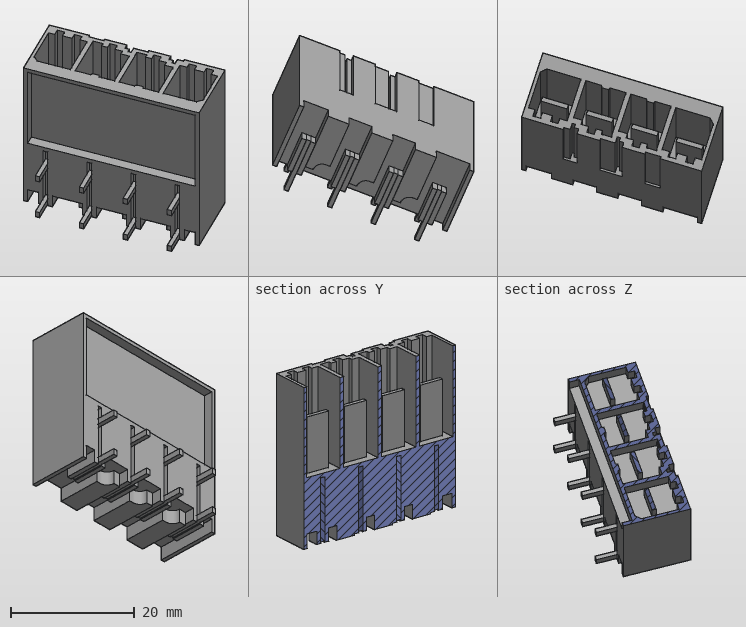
import cadquery as cq
import math


pole_count = 4
pitch = 7.62
width = pole_count * pitch
depth = 11.4
height = 28.3
back = depth / 2
front = -depth / 2
pole_centers = [(i - (pole_count - 1) / 2) * pitch for i in range(pole_count)]

recess_wall = 0.73
recess_bottom = 12.46
recess_depth = 1.65

pocket_floor = recess_bottom
end_wall = 0.6
pole_wall = 0.82
pocket_front = 9.0
groove_bottom = 0.73
key_face = 1.72
pocket_half = pitch / 2 - pole_wall / 2
end_chamfer = 0.83
end_outer_shoulder = 1.84
end_inner_shoulder = 1.6
end_groove_inner = 0.85
end_groove_outer = 2.12
middle_left_corner = 1.12
ledge_width = 0.12
ledge_height = 1.0
middle_left_key = 1.7
middle_groove_half = 0.62
middle_right_key = 1.92
middle_right_shoulder = 2.44
bump_height = 0.36
bump_top_half = 0.56
bump_base_half = 0.72

notch_depth = 0.36
notch_floor = pocket_floor
first_notch_left = -8.22
notch_lead = 1.8
last_notch_right = 8.2
hook_left = 2.04
hook_shelf_width = 0.75
hook_shelf_depth = 0.85
hook_slot_width = 0.53
hook_slot_depth = 1.45

ceiling = 2.55
rib_half = 1.21
rib_bottom = 0.24
column_left = 4.86
column_arc_left = 4.12
column_arc_right = 2.54
column_front = -3.92
column_radius = column_arc_left - column_arc_right

contact_thickness = 0.76
blade_width = 4.4
blade_top = 22.3
stem_top = 11.66
stem_recess = 1.0
stem_front = front + stem_recess
stem_back = contact_thickness / 2
pin_height = 1.1
pin_length = 3.5
lower_pin_level = 1.03
pin_levels = [lower_pin_level, lower_pin_level + pitch]
stem_bottom = lower_pin_level - pin_height / 2


def block(x0, x1, y0, y1, z0, z1):
    """Box between two opposite corners."""
    return cq.Workplane("XY").box(x1 - x0, y1 - y0, z1 - z0, centered=False).translate((x0, y0, z0))


def prism_from_back(points, z0, z1):
    """Vertical prism whose outline is given as (x, depth below the back face)."""
    outline = [(x, back - below) for x, below in points]
    return cq.Workplane("XY").workplane(offset=z0).polyline(outline).close().extrude(z1 - z0)


def end_pocket():
    """Pocket of the leftmost pole, with two grooves and one chamfered corner."""
    outer = -pitch / 2 + end_wall
    points = [
        (outer, end_outer_shoulder),
        (-end_groove_outer, end_outer_shoulder),
        (-end_groove_outer, groove_bottom),
        (-end_groove_inner, groove_bottom),
        (-end_groove_inner, key_face),
        (end_groove_inner, key_face),
        (end_groove_inner, groove_bottom),
        (end_groove_outer, groove_bottom),
        (end_groove_outer, end_inner_shoulder),
        (pocket_half, end_inner_shoulder),
        (pocket_half, pocket_front),
        (outer + end_chamfer, pocket_front),
        (outer, pocket_front - end_chamfer),
    ]
    return prism_from_back(points, pocket_floor, height).translate((pole_centers[0], 0, 0))


def middle_pocket(center):
    """Pocket of an inner pole, with a stepped back and a small bump on the front wall."""
    points = [
        (-pocket_half, middle_left_corner),
        (-middle_left_key, middle_left_corner),
        (-middle_left_key, key_face),
        (-middle_groove_half, key_face),
        (-middle_groove_half, groove_bottom),
        (middle_groove_half, groove_bottom),
        (middle_groove_half, key_face),
        (middle_right_key, key_face),
        (middle_right_key, middle_right_shoulder),
        (pocket_half, middle_right_shoulder),
        (pocket_half, pocket_front),
        (bump_base_half, pocket_front),
        (bump_top_half, pocket_front - bump_height),
        (-bump_top_half, pocket_front - bump_height),
        (-bump_base_half, pocket_front),
        (-pocket_half, pocket_front),
    ]
    return prism_from_back(points, pocket_floor, height).translate((center, 0, 0))


def pocket_ledge(center):
    """Narrow ledge low in the back left corner of an inner pocket."""
    ledge_back = back - middle_left_corner
    return block(
        center - pocket_half, center - middle_left_key,
        ledge_back - ledge_width, ledge_back,
        pocket_floor, pocket_floor + ledge_height,
    )


def shallow_notch(left, right):
    """Plain coding notch in the back face."""
    return block(left, right, back - notch_depth, back, notch_floor, height)


def hooked_notch(left, right):
    """Coding notch that starts with a shelf and a deeper slot."""
    shelf_end = left + hook_shelf_width
    slot_end = shelf_end + hook_slot_width
    points = [
        (left, 0),
        (left, hook_shelf_depth),
        (shelf_end, hook_shelf_depth),
        (shelf_end, hook_slot_depth),
        (slot_end, hook_slot_depth),
        (slot_end, notch_depth),
        (right, notch_depth),
        (right, 0),
    ]
    return prism_from_back(points, notch_floor, height)


def rib(center):
    """Rib under the ceiling that carries the contact slot."""
    return block(center - rib_half, center + rib_half, front, stem_back, rib_bottom, ceiling)


def column(center):
    """Column left of a rib, with a concave quarter-round corner in its front."""
    arc_back = column_front + column_radius
    arc_step = column_radius * math.sqrt(0.5)
    arc_middle = (center - column_arc_left + arc_step, column_front + arc_step)
    return (
        cq.Workplane("XY")
        .moveTo(center - column_left, back)
        .lineTo(center - column_left, arc_back)
        .lineTo(center - column_arc_left, arc_back)
        .threePointArc(arc_middle, (center - column_arc_right, column_front))
        .lineTo(center - rib_half, column_front)
        .lineTo(center - rib_half, back)
        .close()
        .extrude(ceiling)
    )


def blade(center, bottom):
    """Flat mating blade of a contact, standing up in the pocket."""
    half = blade_width / 2
    return block(center - half, center + half, -stem_back, stem_back, bottom, blade_top)


def contact_slot(center):
    """Slot in the housing, open to the front and below, that takes the contact stem."""
    half = contact_thickness / 2
    return block(center - half, center + half, front, stem_back, 0, stem_top)


def make_housing():
    body = block(-width / 2, width / 2, front, back, 0, height)

    inner = width / 2 - recess_wall
    body = body.cut(block(-inner, inner, front, back, 0, ceiling))
    for center in pole_centers:
        body = body.union(rib(center))
    for center in pole_centers[1:]:
        body = body.union(column(center))

    body = body.cut(block(-inner, inner, front, front + recess_depth, recess_bottom, height - recess_wall))

    body = body.cut(end_pocket()).cut(end_pocket().mirror("YZ"))
    for center in pole_centers[1:-1]:
        body = body.cut(middle_pocket(center)).union(pocket_ledge(center))

    body = body.cut(shallow_notch(first_notch_left, pole_centers[1] - notch_lead))
    body = body.cut(hooked_notch(pole_centers[1] + hook_left, pole_centers[2] - notch_lead))
    body = body.cut(hooked_notch(pole_centers[2] + hook_left, last_notch_right))

    for center in pole_centers:
        body = body.cut(contact_slot(center)).cut(blade(center, stem_top))
    return body


def make_contact(center):
    """Contact with a flat blade, a stem turned a quarter turn to it and two solder pins."""
    half = contact_thickness / 2
    contact = block(center - half, center + half, stem_front, stem_back, stem_bottom, stem_top)
    contact = contact.union(blade(center, stem_top))
    for level in pin_levels:
        low = level - pin_height / 2
        pin = block(center - half, center + half, front - pin_length, stem_front, low, low + pin_height)
        contact = contact.union(pin)
    return contact


housing = make_housing()
contacts = [make_contact(center) for center in pole_centers]

bodies = [housing, *contacts]
result = cq.Compound.makeCompound([body.solids().val() for body in bodies])